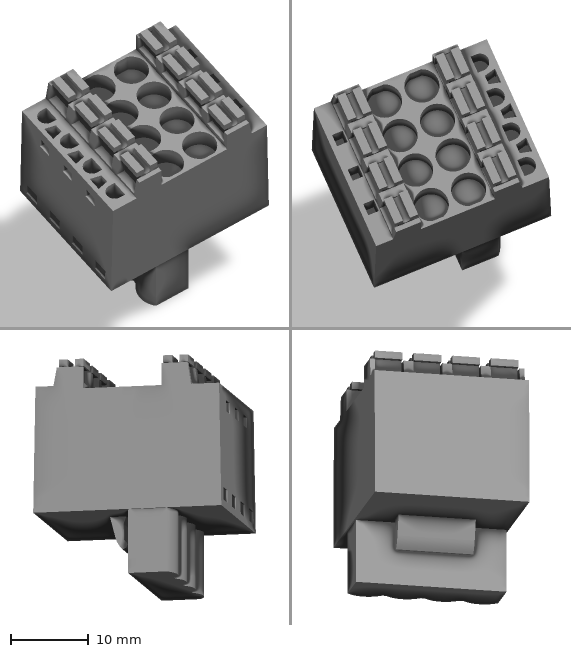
import cadquery as cq


POLES = 4
PITCH = 5.08
WIDTH = POLES * PITCH
POLE_X = [(i - (POLES - 1) / 2) * PITCH for i in range(POLES)]
BETWEEN_X = [(i - (POLES - 2) / 2) * PITCH for i in range(POLES - 1)]

BASE_DEPTH = 24.75
TOP_DEPTH = 24.15
FRONT_SHELF_Z = 16.0
BACK_SHELF_Z = 16.45

TOWER_TOP_Z = 18.87
FRONT_TOWER_INNER_Y = -4.48
BACK_TOWER_INNER_Y = 5.81
TOWER_TOP_LENGTH = 3.46
TOWER_BASE_LENGTH = 3.9

BUTTON_WIDTH = 3.62
BUTTON_TOP_Z = 20.01
CAP_LENGTH = 3.26
CAP_HEIGHT = 0.95
STEM_LENGTH = 1.9
GROOVE_WIDTH = 0.98
GROOVE_DEPTH = 1.15
FRONT_BUTTON_Y = -6.2
BACK_BUTTON_Y = 7.52
NOTCH_WIDTH = 3.8
NOTCH_STEP = 0.33
FRONT_FLOOR_Z = FRONT_SHELF_Z + NOTCH_STEP
BACK_FLOOR_Z = BACK_SHELF_Z + NOTCH_STEP

WELL_DIAMETER = 4.52
WELL_DEPTH = 2.6
WELL_WALL = 0.43
WELL_Y = [-1.92, 3.3]

OPENING_DEPTH = 3.0
ARCH_WIDTH = 2.36
ARCH_BACK_Y = -9.23
ARCH_FRONT_Y = -11.22
SQUARE_WIDTH = 1.65
SQUARE_LENGTH = 1.47
SQUARE_Y = 10.62

PORT_BACK_Y = -9.89
PORT_SHELF_FRONT_Y = -11.46
PORT_BACK_WIDTH = 1.24
PORT_SHELF_WIDTH = 2.0
PORT_FACE_WIDTH = 2.1
PORT_BOTTOM_Z = 13.0
PORT_TOP_Z = 14.45

WINDOW_WIDTH = 2.32
WINDOW_BOTTOM_Z = 0.97
WINDOW_TOP_Z = 2.63
WINDOW_DEPTH = 0.25

PLUG_HEIGHT = 8.32
PLUG_BACK_Y = -0.05
PLUG_WEB_Y = -5.13
PLUG_FRONT_Y = -6.07
PLUG_POLE_WIDTH = 4.53

LATCH_WIDTH = 2 * PITCH
LATCH_ROOT_BACK_Y = 3.4
LATCH_ROOT_FRONT_Y = 1.26
LATCH_BEND_START = (2.72, -2.6)
LATCH_BEND_MIDDLE = (2.42, -3.4)
LATCH_TIP = (1.84, -4.2)
LATCH_NOSE_LOW = (1.2, -3.95)
LATCH_NOSE_HIGH = (1.2, -3.4)
LATCH_NECK_BOTTOM = (1.57, -3.0)
LATCH_NECK_TOP = (1.61, -0.97)


def box(x_size, y_range, z_range, x=0.0):
    """Block centred on x that fills the given Y and Z ranges."""
    y_low, y_high = y_range
    z_low, z_high = z_range
    return (
        cq.Workplane("XY", origin=(x, (y_low + y_high) / 2, z_low))
        .box(x_size, y_high - y_low, z_high - z_low, centered=(True, True, False))
    )


def side_sketch(width):
    """Sketch plane whose axes are Y and Z, for a shape of this width centred on X = 0."""
    return cq.Workplane("YZ", origin=(-width / 2, 0, 0))


def tapered_slot(x, back_width, front_width, front_y, z_range):
    """Upright slot that widens from the back of a port toward the front."""
    z_low, z_high = z_range
    return (
        cq.Workplane("XY", origin=(x, 0, z_low))
        .polyline([
            (-back_width / 2, PORT_BACK_Y),
            (back_width / 2, PORT_BACK_Y),
            (front_width / 2, front_y),
            (-front_width / 2, front_y),
        ])
        .close()
        .extrude(z_high - z_low)
    )


def make_block():
    front_inner = FRONT_TOWER_INNER_Y
    back_inner = BACK_TOWER_INNER_Y
    outline = [
        (-BASE_DEPTH / 2, 0),
        (-TOP_DEPTH / 2, FRONT_SHELF_Z),
        (front_inner - TOWER_BASE_LENGTH, FRONT_SHELF_Z),
        (front_inner - TOWER_TOP_LENGTH, TOWER_TOP_Z),
        (front_inner, TOWER_TOP_Z),
        (front_inner, FRONT_SHELF_Z),
        (back_inner, FRONT_SHELF_Z),
        (back_inner, TOWER_TOP_Z),
        (back_inner + TOWER_TOP_LENGTH, TOWER_TOP_Z),
        (back_inner + TOWER_BASE_LENGTH, BACK_SHELF_Z),
        (TOP_DEPTH / 2, BACK_SHELF_Z),
        (BASE_DEPTH / 2, 0),
    ]
    return side_sketch(WIDTH).polyline(outline).close().extrude(WIDTH)


def cut_button_notches(body):
    front_range = (FRONT_TOWER_INNER_Y - TOWER_BASE_LENGTH, FRONT_TOWER_INNER_Y)
    back_range = (BACK_TOWER_INNER_Y, BACK_TOWER_INNER_Y + TOWER_BASE_LENGTH)
    for x in POLE_X:
        for y_range, floor_z in ((front_range, FRONT_FLOOR_Z), (back_range, BACK_FLOOR_Z)):
            body = body.cut(box(NOTCH_WIDTH, y_range, (floor_z, TOWER_TOP_Z), x))
    return body


def cut_wells(body):
    centres = [(x, y) for x in POLE_X for y in WELL_Y]
    well_floor_z = FRONT_SHELF_Z - WELL_DEPTH
    wells = (
        cq.Workplane("XY", origin=(0, 0, well_floor_z))
        .pushPoints(centres)
        .circle(WELL_DIAMETER / 2)
        .extrude(WELL_DEPTH)
    )
    inner_space = box(
        WIDTH - 2 * WELL_WALL,
        (FRONT_TOWER_INNER_Y, BACK_TOWER_INNER_Y),
        (well_floor_z, FRONT_SHELF_Z),
    )
    return body.cut(wells.intersect(inner_space))


def cut_arched_openings(body):
    radius = ARCH_WIDTH / 2
    spring_y = ARCH_FRONT_Y + radius
    for x in POLE_X:
        opening = (
            cq.Workplane("XY", origin=(x, 0, FRONT_SHELF_Z))
            .moveTo(-radius, ARCH_BACK_Y)
            .lineTo(-radius, spring_y)
            .threePointArc((0, ARCH_FRONT_Y), (radius, spring_y))
            .lineTo(radius, ARCH_BACK_Y)
            .close()
            .extrude(-OPENING_DEPTH)
        )
        body = body.cut(opening)
    return body


def cut_square_openings(body):
    openings = (
        cq.Workplane("XY", origin=(0, SQUARE_Y, BACK_SHELF_Z))
        .pushPoints([(x, 0) for x in BETWEEN_X])
        .rect(SQUARE_WIDTH, SQUARE_LENGTH)
        .extrude(-OPENING_DEPTH)
    )
    return body.cut(openings)


def cut_ports(body):
    for x in BETWEEN_X:
        shaft = tapered_slot(
            x, PORT_BACK_WIDTH, PORT_SHELF_WIDTH, PORT_SHELF_FRONT_Y, (PORT_BOTTOM_Z, FRONT_SHELF_Z)
        )
        mouth = tapered_slot(
            x, PORT_BACK_WIDTH, PORT_FACE_WIDTH, -BASE_DEPTH / 2, (PORT_BOTTOM_Z, PORT_TOP_Z)
        )
        body = body.cut(shaft).cut(mouth)
    return body


def cut_front_windows(body):
    face_y = -BASE_DEPTH / 2
    for x in POLE_X:
        window = box(
            WINDOW_WIDTH, (face_y, face_y + WINDOW_DEPTH), (WINDOW_BOTTOM_Z, WINDOW_TOP_Z), x
        )
        body = body.cut(window)
    return body


def make_plug():
    """Flat-backed bar whose front bulges in one shallow arc per pole."""
    half = PLUG_POLE_WIDTH / 2
    sketch = (
        cq.Workplane("XY")
        .moveTo(POLE_X[-1] + half, PLUG_BACK_Y)
        .lineTo(POLE_X[0] - half, PLUG_BACK_Y)
    )
    for x in POLE_X:
        sketch = (
            sketch.lineTo(x - half, PLUG_WEB_Y)
            .threePointArc((x, PLUG_FRONT_Y), (x + half, PLUG_WEB_Y))
        )
    return sketch.close().extrude(-PLUG_HEIGHT)


def make_latch():
    """Tapering finger under the housing with a rounded hook facing the plug."""
    return (
        side_sketch(LATCH_WIDTH)
        .moveTo(LATCH_ROOT_BACK_Y, 0)
        .lineTo(*LATCH_BEND_START)
        .threePointArc(LATCH_BEND_MIDDLE, LATCH_TIP)
        .threePointArc(LATCH_NOSE_LOW, LATCH_NOSE_HIGH)
        .lineTo(*LATCH_NECK_BOTTOM)
        .lineTo(*LATCH_NECK_TOP)
        .lineTo(LATCH_ROOT_FRONT_Y, 0)
        .close()
        .extrude(LATCH_WIDTH)
    )


def make_housing():
    body = make_block()
    body = cut_button_notches(body)
    body = cut_wells(body)
    body = cut_arched_openings(body)
    body = cut_square_openings(body)
    body = cut_ports(body)
    body = cut_front_windows(body)
    return body.union(make_plug()).union(make_latch())


def make_button(x, y, floor_z):
    """T-shaped button standing on a notch floor, with a round-bottomed groove in its cap."""
    cap_bottom_z = BUTTON_TOP_Z - CAP_HEIGHT
    groove_radius = GROOVE_WIDTH / 2
    groove_axis_z = BUTTON_TOP_Z - GROOVE_DEPTH + groove_radius
    half_cap = CAP_LENGTH / 2
    half_stem = STEM_LENGTH / 2
    return (
        cq.Workplane("YZ", origin=(x - BUTTON_WIDTH / 2, y, 0))
        .moveTo(-half_stem, floor_z)
        .lineTo(-half_stem, cap_bottom_z)
        .lineTo(-half_cap, cap_bottom_z)
        .lineTo(-half_cap, BUTTON_TOP_Z)
        .lineTo(-groove_radius, BUTTON_TOP_Z)
        .lineTo(-groove_radius, groove_axis_z)
        .threePointArc((0, groove_axis_z - groove_radius), (groove_radius, groove_axis_z))
        .lineTo(groove_radius, BUTTON_TOP_Z)
        .lineTo(half_cap, BUTTON_TOP_Z)
        .lineTo(half_cap, cap_bottom_z)
        .lineTo(half_stem, cap_bottom_z)
        .lineTo(half_stem, floor_z)
        .close()
        .extrude(BUTTON_WIDTH)
    )


housing = make_housing()
buttons = []
for pole_x in POLE_X:
    buttons.append(make_button(pole_x, FRONT_BUTTON_Y, FRONT_FLOOR_Z))
    buttons.append(make_button(pole_x, BACK_BUTTON_Y, BACK_FLOOR_Z))

result = cq.Compound.makeCompound([housing.val(), *[button.val() for button in buttons]])